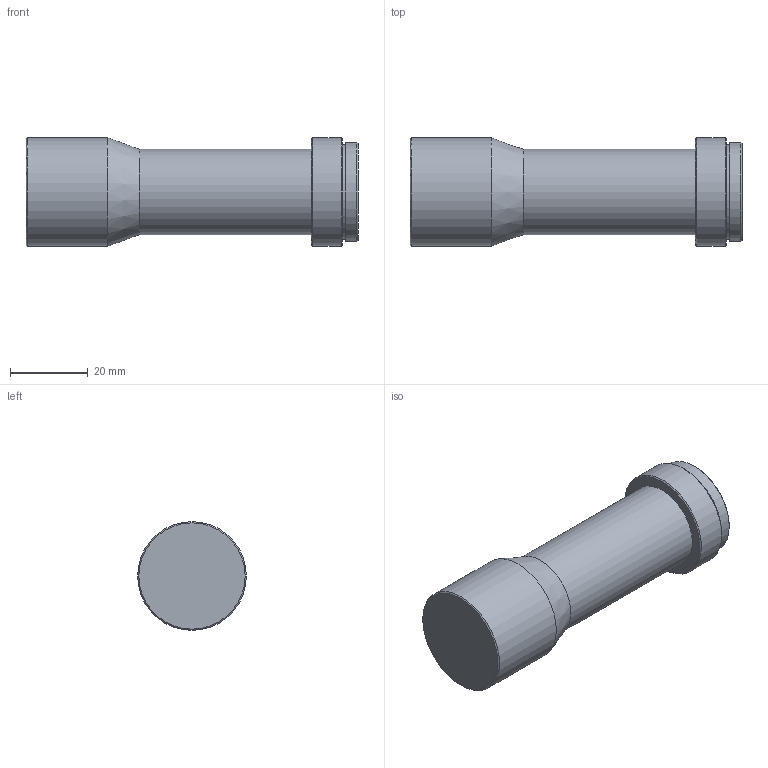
import cadquery as cq
import math

total_length = 85.6

head_radius = 14.0
head_length = 21.0

neck_radius = 11.0
cone_half_angle = 20.0
cone_length = (head_radius - neck_radius) / math.tan(math.radians(cone_half_angle))

groove_radius = 12.25
groove_width = 0.8
ring_radius = 12.75
ring_length = 3.2

collar_radius = head_radius
collar_length = 8.0

edge_chamfer = 0.3

ring_start = total_length - ring_length
collar_end = ring_start - groove_width
collar_start = collar_end - collar_length


def turned_profile():
    """Closed half section in the XZ plane, from the axis outwards."""
    return (
        cq.Workplane("XZ")
        .moveTo(0, 0)
        .lineTo(0, head_radius - edge_chamfer)
        .lineTo(edge_chamfer, head_radius)
        .lineTo(head_length, head_radius)
        .lineTo(head_length + cone_length, neck_radius)
        .lineTo(collar_start, neck_radius)
        .lineTo(collar_start, collar_radius - edge_chamfer)
        .lineTo(collar_start + edge_chamfer, collar_radius)
        .lineTo(collar_end - edge_chamfer, collar_radius)
        .lineTo(collar_end, collar_radius - edge_chamfer)
        .lineTo(collar_end, groove_radius)
        .lineTo(ring_start, groove_radius)
        .lineTo(ring_start, ring_radius)
        .lineTo(total_length - edge_chamfer, ring_radius)
        .lineTo(total_length, ring_radius - edge_chamfer)
        .lineTo(total_length, 0)
        .close()
    )


result = turned_profile().revolve(360, (0, 0, 0), (1, 0, 0))